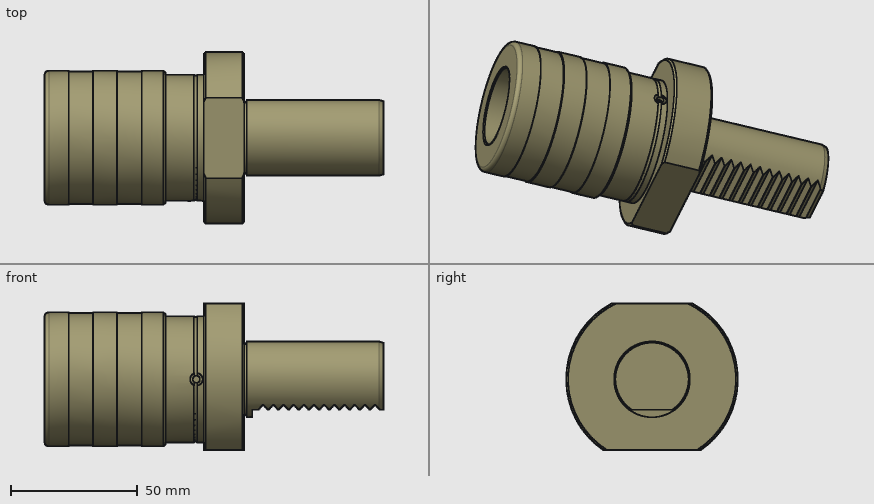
import cadquery as cq
import math


body_diameter = 53.0
band_diameter = 52.5
neck_diameter = 50.0
body_length = 47.8
body_end_fillet = 1.7
body_back_chamfer = 0.8
band_start = 9.5
band_end = 38.5
land_start = 19.0
land_end = 28.8

bore_diameter = 31.0
bore_depth = 18.2
bore_chamfer = 0.5

groove_center = 59.8
groove_width = 1.3
groove_depth = 0.4

plug_center = 60.0
plug_diameter = 5.0
plug_recess = 0.1
plug_hole_diameter = 2.8
plug_hole_depth = 2.0

flange_start = 63.0
flange_end = 78.9
flange_diameter = 68.0
flange_chamfer = 0.8
upper_flat_height = 30.0
lower_flat_height = 28.0

total_length = 134.0
shank_diameter = 30.0
relief_radius = 1.1
tip_chamfer_length = 1.9
tip_chamfer_height = 0.5

rack_start = 82.1
rack_height = 12.0
tooth_count = 12
tooth_pitch = 4.0
tooth_depth = 2.0
tooth_tip_width = 0.1
first_root = 86.4


def cylinder_x(diameter, start, end):
    """Solid cylinder along the X axis."""
    return cq.Workplane("YZ", origin=(start, 0, 0)).circle(diameter / 2).extrude(end - start)


def ring_x(outer_diameter, inner_diameter, start, end):
    """Ring around the X axis."""
    return cylinder_x(outer_diameter, start, end).cut(cylinder_x(inner_diameter, start, end))


def cylinder_into_side(diameter, floor_y):
    """Cylinder at the plug, from outside the neck on the -Y side in to floor_y."""
    outside = cq.Workplane("XZ", origin=(plug_center, floor_y, 0))
    return outside.circle(diameter / 2).extrude(body_diameter)


def make_body():
    """Body with a shallow band turned into it and a full-size land left in the band's middle."""
    body = cylinder_x(body_diameter, 0, body_length)
    body = body.faces("<X").edges().fillet(body_end_fillet)
    body = body.faces(">X").edges().chamfer(body_back_chamfer)
    body = body.cut(ring_x(flange_diameter, band_diameter, band_start, band_end))
    band_depth = (body_diameter - band_diameter) / 2
    land = cylinder_x(body_diameter, land_start, land_end).edges().chamfer(band_depth)
    return body.union(land)


def make_neck():
    """Neck with a shallow round groove, starting inside the body."""
    radius = neck_diameter / 2
    groove_start = groove_center - groove_width / 2
    groove_end = groove_center + groove_width / 2
    profile = (
        cq.Workplane("XY")
        .moveTo(body_length / 2, 0)
        .lineTo(body_length / 2, radius)
        .lineTo(groove_start, radius)
        .threePointArc((groove_center, radius - groove_depth), (groove_end, radius))
        .lineTo(flange_start, radius)
        .lineTo(flange_start, 0)
        .close()
    )
    return profile.revolve(360, (0, 0, 0), (1, 0, 0))


def make_flange():
    flange = cylinder_x(flange_diameter, flange_start, flange_end).edges().chamfer(flange_chamfer)
    flat_base = cq.Workplane("XY", origin=(0, 0, -lower_flat_height))
    slab = flat_base.rect(2 * total_length, 2 * flange_diameter)
    return flange.intersect(slab.extrude(upper_flat_height + lower_flat_height))


def make_shank():
    """Shank with a quarter-round relief behind the flange and a slender chamfer at its tip."""
    radius = shank_diameter / 2
    arc_offset = relief_radius * math.sqrt(0.5)
    profile = (
        cq.Workplane("XY")
        .moveTo(flange_end, 0)
        .lineTo(flange_end, radius - relief_radius)
        .threePointArc((flange_end + arc_offset, radius - arc_offset), (flange_end + relief_radius, radius))
        .lineTo(total_length - tip_chamfer_length, radius)
        .lineTo(total_length, radius - tip_chamfer_height)
        .lineTo(total_length, 0)
        .close()
    )
    return profile.revolve(360, (0, 0, 0), (1, 0, 0))


def cut_rack(part):
    """Mill the flat under the shank, then the row of V grooves across it."""
    flat = (
        cq.Workplane("XZ")
        .moveTo(rack_start, -rack_height)
        .lineTo(total_length, -rack_height)
        .lineTo(total_length, -shank_diameter)
        .lineTo(rack_start, -shank_diameter)
        .close()
        .extrude(shank_diameter, both=True)
    )
    part = part.cut(flat)
    groove_half_width = (tooth_pitch - tooth_tip_width) / 2
    for index in range(tooth_count):
        root_x = first_root + index * tooth_pitch
        groove = (
            cq.Workplane("XZ")
            .moveTo(root_x, tooth_depth - rack_height)
            .lineTo(root_x + groove_half_width, -rack_height)
            .lineTo(root_x - groove_half_width, -rack_height)
            .close()
            .extrude(shank_diameter, both=True)
        )
        part = part.cut(groove)
    return part


def cut_bore(part):
    part = part.cut(cylinder_x(bore_diameter, 0, bore_depth))
    mouth = cq.Workplane("YZ").circle(bore_diameter / 2 + bore_chamfer)
    return part.cut(mouth.extrude(bore_chamfer, taper=45))


def cut_plug(part):
    """Plug face just below the neck surface, with a flat-bottomed hole in it."""
    neck_radius = neck_diameter / 2
    plug_face = cylinder_x(neck_diameter - 2 * plug_recess, body_length, flange_start)
    seat = cylinder_into_side(plug_diameter, 0).cut(plug_face)
    hole = cylinder_into_side(plug_hole_diameter, plug_hole_depth - neck_radius)
    return part.cut(seat).cut(hole)


result = make_body().union(make_neck()).union(make_flange()).union(make_shank())
result = cut_rack(result)
result = cut_bore(result)
result = cut_plug(result)